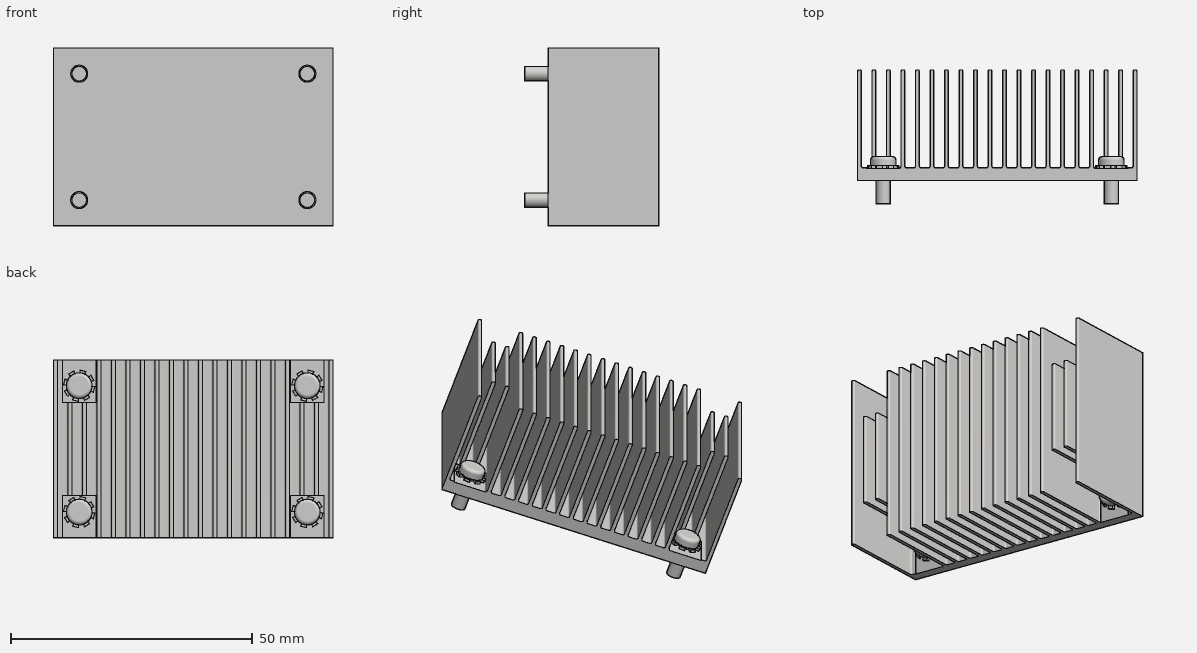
import cadquery as cq
import math


LENGTH = 57.9
HEIGHT = 36.85
TOTAL_DEPTH = 27.8

SINK_DEPTH = 22.95
BASE_THICKNESS = 2.65
FIN_COUNT = 20
FIN_THICKNESS = 0.8
FIN_TIP_RADIUS = 0.35
FIN_ROOT_RADIUS = 0.35
FIN_PITCH = (LENGTH - FIN_THICKNESS) / (FIN_COUNT - 1)

SCREW_SPACING_X = 47.25
SCREW_SPACING_Z = 26.2
HOLE_DIAMETER = 3.55
SEAT_WIDTH = 6.95
SEAT_DEPTH = 0.2
SEAT_LEVEL = BASE_THICKNESS - SEAT_DEPTH

SHANK_DIAMETER = 3.0
SHANK_PROTRUSION = TOTAL_DEPTH - SINK_DEPTH
HEAD_DIAMETER = 5.3
HEAD_HEIGHT = 1.9
HEAD_EDGE_RADIUS = 0.75
WASHER_THICKNESS = 0.6
WASHER_TIP_RADIUS = 3.25
WASHER_VALLEY_RADIUS = 2.15
TOOTH_COUNT = 8
TOOTH_PITCH_ANGLE = 360 / TOOTH_COUNT
TOOTH_ANGLE = TOOTH_PITCH_ANGLE / 2
FIRST_TOOTH_ANGLE = 14.0

SCREW_CENTRES = [
    (side_x * SCREW_SPACING_X / 2, side_z * SCREW_SPACING_Z / 2)
    for side_x in (-1, 1)
    for side_z in (-1, 1)
]


def box_between(x_range, y_range, z_range):
    """Box filling the given (low, high) ranges."""
    size = [high - low for low, high in (x_range, y_range, z_range)]
    return cq.Workplane("XY").box(*size, centered=False).translate((x_range[0], y_range[0], z_range[0]))


def cylinder_along_y(diameter, y_low, y_high):
    """Cylinder on the Y axis between two Y levels."""
    return cq.Workplane("XZ", origin=(0, y_low, 0)).circle(diameter / 2).extrude(y_low - y_high)


def fin_channel(index):
    """Space between fin number index and the next one, with rounded floor corners."""
    x_low = -LENGTH / 2 + FIN_THICKNESS + index * FIN_PITCH
    x_high = x_low + FIN_PITCH - FIN_THICKNESS
    channel = box_between((x_low, x_high), (BASE_THICKNESS, SINK_DEPTH), (-HEIGHT / 2, HEIGHT / 2))
    return channel.edges("|Z and <Y").fillet(FIN_ROOT_RADIUS)


def screw_seat(x, z):
    """Square-cornered pocket, open at the nearer Z side, that clears the fins around a screw."""
    z_side = math.copysign(HEIGHT / 2, z)
    z_inner = z - math.copysign(SEAT_WIDTH / 2, z)
    return box_between(
        (x - SEAT_WIDTH / 2, x + SEAT_WIDTH / 2),
        (SEAT_LEVEL, SINK_DEPTH),
        (min(z_inner, z_side), max(z_inner, z_side)),
    )


def make_heat_sink():
    sink = box_between((-LENGTH / 2, LENGTH / 2), (0, SINK_DEPTH), (-HEIGHT / 2, HEIGHT / 2))
    for index in range(FIN_COUNT - 1):
        sink = sink.cut(fin_channel(index))
    sink = sink.faces(">Y").edges("|Z").fillet(FIN_TIP_RADIUS)
    for x, z in SCREW_CENTRES:
        sink = sink.cut(screw_seat(x, z))
        sink = sink.cut(cylinder_along_y(HOLE_DIAMETER, 0, SEAT_LEVEL).translate((x, 0, z)))
    return sink


def washer_tooth():
    """One tooth with radial flanks and a flat tip, pointing along +Z from the screw axis."""
    half_angle = math.radians(TOOTH_ANGLE / 2)
    tip_x = WASHER_TIP_RADIUS * math.sin(half_angle)
    tip_z = WASHER_TIP_RADIUS * math.cos(half_angle)
    return (
        cq.Workplane("XZ", origin=(0, SEAT_LEVEL, 0))
        .polyline([(0, 0), (tip_x, tip_z), (-tip_x, tip_z)])
        .close()
        .extrude(-WASHER_THICKNESS)
    )


def make_screw():
    """Screw on the Y axis: shank, toothed washer and round-edged head in one piece."""
    head_level = SEAT_LEVEL + WASHER_THICKNESS
    head_top = head_level + HEAD_HEIGHT
    head = cylinder_along_y(HEAD_DIAMETER, head_level, head_top).edges(">Y").fillet(HEAD_EDGE_RADIUS)
    screw = head.union(cylinder_along_y(SHANK_DIAMETER, -SHANK_PROTRUSION, head_level))
    screw = screw.union(cylinder_along_y(2 * WASHER_VALLEY_RADIUS, SEAT_LEVEL, head_level))
    for index in range(TOOTH_COUNT):
        angle = -(FIRST_TOOTH_ANGLE + index * TOOTH_PITCH_ANGLE)
        screw = screw.union(washer_tooth().rotate((0, 0, 0), (0, 1, 0), angle))
    return screw


heat_sink = make_heat_sink()
screws = [make_screw().translate((x, 0, z)) for x, z in SCREW_CENTRES]

result = cq.Compound.makeCompound([heat_sink.val(), *[screw.val() for screw in screws]])